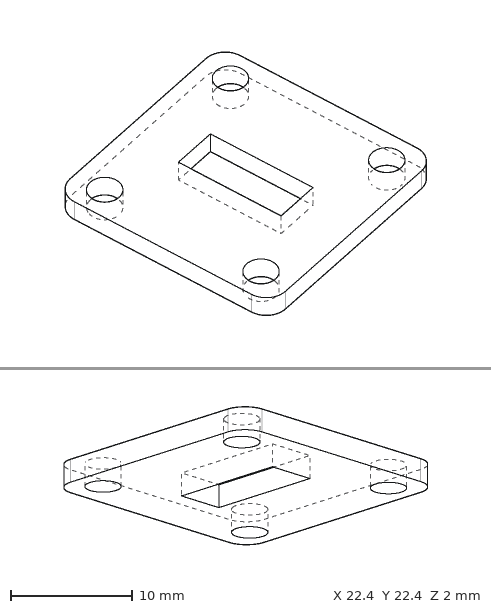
import cadquery as cq

side = 22.4
thickness = 2.0
corner_radius = 2.0

window_length = 10.67
window_width = 4.32

hole_diameter = 3.0
hole_spacing_x = 16.26
hole_spacing_y = 17.02


def flange_plate():
    """Square plate with rounded vertical corners, centred on the origin."""
    plate = cq.Workplane("XY").box(side, side, thickness)
    return plate.edges("|Z").fillet(corner_radius)


def cut_window(plate):
    """Cut the rectangular window through the plate."""
    return plate.faces(">Z").workplane().rect(window_length, window_width).cutThruAll()


def drill_mounting_holes(plate):
    """Drill a through hole at each corner of the mounting pattern."""
    pattern = plate.faces(">Z").workplane().rect(hole_spacing_x, hole_spacing_y, forConstruction=True)
    return pattern.vertices().hole(hole_diameter)


result = drill_mounting_holes(cut_window(flange_plate()))